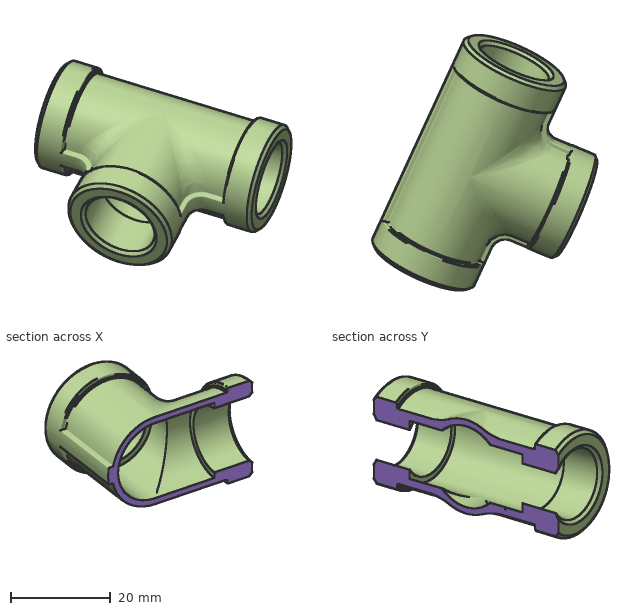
import cadquery as cq
import math

arm_length = 23.5
collar_diameter = 22.5
body_diameter = 20.5
bore_diameter = 14.95
chamber_diameter = 17.5
bore_length = 9.2
collar_length = 6.0
outer_chamfer = 0.75
bore_chamfer = 0.75

rib_width = 4.05
rib_corner_radius = 3.05
step_radius = 0.3

collar_radius = collar_diameter / 2
body_radius = body_diameter / 2
bore_radius = bore_diameter / 2
chamber_radius = chamber_diameter / 2
chamber_length = arm_length - bore_length
neck_length = arm_length - collar_length
inner_length = neck_length + 2 * step_radius

blend_centre = collar_radius + rib_corner_radius
blend_ratio = blend_centre / body_radius
blend_end_angle = 88
blend_section_count = 17
seam_tolerance = 0.001
corner_margin = 0.45
match_tolerance = 0.005


def tee(radius, length):
    """Run and branch cylinders of equal radius and arm length."""
    run = cq.Workplane("YZ").circle(radius).extrude(length, both=True)
    branch = cq.Workplane("XZ").circle(radius).extrude(length)
    return run.union(branch)


def blend_section(angle):
    """Horizontal slice of the right corner blend at an angle up the body cylinder."""
    half_width = body_radius * math.cos(math.radians(angle))
    height = body_radius * math.sin(math.radians(angle))
    centre = half_width * blend_ratio
    arc_middle = centre - (centre - half_width) * math.sqrt(0.5)
    inner = half_width / 2
    return (
        cq.Workplane("XY", origin=(0, 0, height))
        .moveTo(centre, -half_width)
        .threePointArc((arc_middle, -arc_middle), (half_width, -centre))
        .lineTo(inner, -inner)
        .close()
        .val()
    )


def corner_blend():
    """Fillet between run and branch that shrinks to nothing at the top and bottom of the body."""
    step = 2 * blend_end_angle / (blend_section_count - 1)
    sections = [blend_section(i * step - blend_end_angle) for i in range(blend_section_count)]
    return cq.Workplane(obj=cq.Solid.makeLoft(sections))


def side_ribs():
    """Mid-plane slab of a full-diameter tee with rounded inside corners and rounded long edges."""
    slab = cq.Workplane("XY").box(4 * arm_length, 4 * arm_length, rib_width)
    ribs = tee(collar_radius, inner_length).intersect(slab)
    rib_face = math.sqrt(collar_radius**2 - (rib_width / 2) ** 2)
    inside_corner = cq.selectors.BoxSelector(
        (-rib_face - corner_margin, -rib_face - corner_margin, -rib_width),
        (rib_face + corner_margin, -rib_face + corner_margin, rib_width),
    )
    ribs = ribs.edges(inside_corner).fillet(rib_corner_radius)
    outline = ribs.faces("|Z").edges().vals()
    long_edges = [
        edge for edge in outline
        if max(abs(edge.Center().x), abs(edge.Center().y)) < neck_length
    ]
    return ribs.newObject(long_edges).fillet(step_radius)


def collar():
    """Collar at the branch end, rounded towards the neck and chamfered at the end face."""
    return (
        cq.Workplane("XZ", origin=(0, -neck_length, 0))
        .circle(collar_radius)
        .extrude(collar_length)
        .faces(">Y").edges().fillet(step_radius)
        .faces("<Y").edges().chamfer(outer_chamfer)
    )


def lies_on_body(point):
    """True for a point on the plain run or branch cylinder of the body."""
    from_run = math.hypot(point.y, point.z)
    from_branch = math.hypot(point.x, point.z)
    return min(abs(from_run - body_radius), abs(from_branch - body_radius)) < match_tolerance


def is_step_foot(edge):
    """True for an edge where a rib wall or a collar wall meets the body."""
    middle = edge.Center()
    on_rib_wall = abs(abs(middle.z) - rib_width / 2) < match_tolerance
    on_collar_wall = abs(max(abs(middle.x), abs(middle.y)) - neck_length) < match_tolerance
    ends_on_body = lies_on_body(edge.startPoint()) and lies_on_body(edge.endPoint())
    return (on_rib_wall or on_collar_wall) and ends_on_body


right_blend = corner_blend()
result = tee(body_radius, inner_length)
for blend in (right_blend, right_blend.mirror("YZ")):
    result = result.union(blend, tol=seam_tolerance)

result = result.union(side_ribs())
for turn in (-90, 0, 90):
    result = result.union(collar().rotate((0, 0, 0), (0, 0, 1), turn))
step_feet = [edge for edge in result.edges().vals() if is_step_foot(edge)]
result = result.newObject(step_feet).fillet(step_radius)

result = result.cut(tee(bore_radius, arm_length))
result = result.cut(tee(chamber_radius, chamber_length))
for end_face in (">X", "<X", "<Y"):
    result = result.faces(end_face).edges(cq.selectors.RadiusNthSelector(0)).chamfer(bore_chamfer)